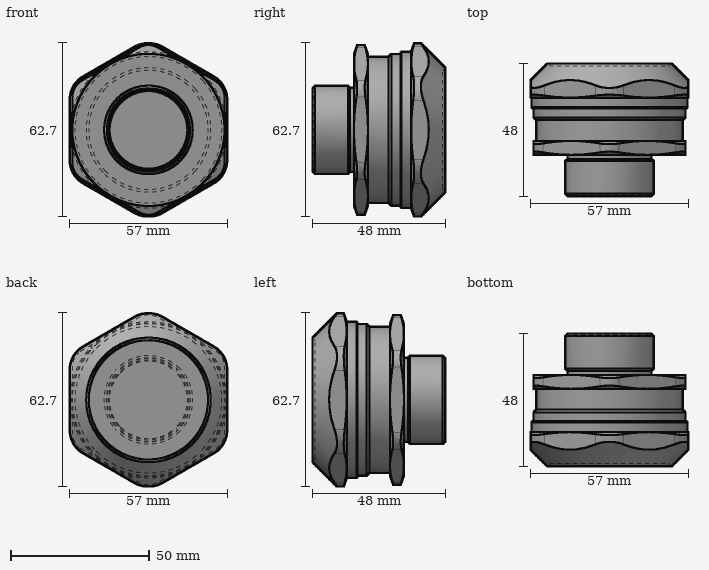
import cadquery as cq
import math


NOZZLE_DIA = 32.0
NOZZLE_LENGTH = 15.0
NOZZLE_TIP_CHAMFER = 1.0
NECK_DIA = 30.5
NECK_LENGTH = 1.5
TIP_RECESS_DIA = 28.9
TIP_RECESS_DEPTH = 0.4

FRONT_HEX_FLATS = 55.0
FRONT_HEX_THICKNESS = 5.0
FRONT_HEX_CORNER_RADIUS = 7.0

BODY_DIA = 53.0
BODY_LENGTH = 7.5
COLLAR_DIA = 55.0
COLLAR_LENGTH = 4.2
COLLAR_CHAMFER = 1.0
SHOULDER_DIA = 56.55
SHOULDER_LENGTH = 3.9
SHOULDER_CHAMFER = 0.5

REAR_HEX_FLATS = 57.0
REAR_HEX_CORNER_RADIUS = 10.0
HEX_CHAMFER_ANGLE = 20.0
TOTAL_LENGTH = 48.01
REAR_FACE_DIA = 45.0
REAR_RECESS_DIA = 43.09
REAR_RECESS_DEPTH = 1.0

SHARP_OVER_FLAT = 2 / math.sqrt(3)

FRONT_HEX_START = NOZZLE_LENGTH
BODY_START = FRONT_HEX_START + FRONT_HEX_THICKNESS
COLLAR_START = BODY_START + BODY_LENGTH
SHOULDER_START = COLLAR_START + COLLAR_LENGTH
REAR_HEX_START = SHOULDER_START + SHOULDER_LENGTH


def revolve_profile(points):
    """Revolve a (radius, y) outline, closed along the axis, about the Y axis."""
    return cq.Workplane("XY").polyline(points).close().revolve(360, (0, 0), (0, 1))


def hex_corner_reach(flats, corner_radius):
    """Distance from the axis to the top of a rounded hexagon corner."""
    return flats / 2 * SHARP_OVER_FLAT - corner_radius * (SHARP_OVER_FLAT - 1)


def hex_prism(flats, corner_radius, y_start, y_end):
    """Hexagonal prism along Y, with flats facing +X and -X and rounded corners."""
    sharp_diameter = flats * SHARP_OVER_FLAT
    return (
        cq.Workplane("XZ", origin=(0, y_start, 0))
        .transformed(rotate=(0, 0, 90))
        .polygon(6, sharp_diameter)
        .extrude(y_start - y_end)
        .edges("|Y")
        .fillet(corner_radius)
    )


def hex_chamfer_depth(corner_reach, face_radius):
    """Axial depth of the corner chamfer that leaves a round face of face_radius."""
    return (corner_reach - face_radius) * math.tan(math.radians(HEX_CHAMFER_ANGLE))


def make_nozzle():
    radius = NOZZLE_DIA / 2
    neck_radius = NECK_DIA / 2
    neck_start = NOZZLE_LENGTH - NECK_LENGTH
    recess_radius = TIP_RECESS_DIA / 2
    return revolve_profile([
        (0, TIP_RECESS_DEPTH),
        (recess_radius - TIP_RECESS_DEPTH, TIP_RECESS_DEPTH),
        (recess_radius, 0),
        (radius - NOZZLE_TIP_CHAMFER, 0),
        (radius, NOZZLE_TIP_CHAMFER),
        (radius, neck_start - (radius - neck_radius)),
        (neck_radius, neck_start),
        (neck_radius, NOZZLE_LENGTH),
        (0, NOZZLE_LENGTH),
    ])


def make_front_hex():
    reach = hex_corner_reach(FRONT_HEX_FLATS, FRONT_HEX_CORNER_RADIUS)
    face_radius = FRONT_HEX_FLATS / 2
    depth = hex_chamfer_depth(reach, face_radius)
    envelope = revolve_profile([
        (0, FRONT_HEX_START),
        (face_radius, FRONT_HEX_START),
        (reach, FRONT_HEX_START + depth),
        (reach, BODY_START - depth),
        (face_radius, BODY_START),
        (0, BODY_START),
    ])
    prism = hex_prism(FRONT_HEX_FLATS, FRONT_HEX_CORNER_RADIUS, FRONT_HEX_START, BODY_START)
    return prism.intersect(envelope)


def make_body():
    body_radius = BODY_DIA / 2
    collar_radius = COLLAR_DIA / 2
    shoulder_radius = SHOULDER_DIA / 2
    return revolve_profile([
        (0, BODY_START),
        (body_radius, BODY_START),
        (body_radius, COLLAR_START),
        (collar_radius, COLLAR_START + COLLAR_CHAMFER),
        (collar_radius, SHOULDER_START),
        (shoulder_radius - SHOULDER_CHAMFER, SHOULDER_START),
        (shoulder_radius, SHOULDER_START + SHOULDER_CHAMFER),
        (shoulder_radius, REAR_HEX_START),
        (0, REAR_HEX_START),
    ])


def make_rear_hex():
    """Rear hexagon whose back is cut by a 45 degree cone running up to the rear face."""
    reach = hex_corner_reach(REAR_HEX_FLATS, REAR_HEX_CORNER_RADIUS)
    face_radius = SHOULDER_DIA / 2
    rear_radius = REAR_FACE_DIA / 2
    recess_radius = REAR_RECESS_DIA / 2
    recess_floor = TOTAL_LENGTH - REAR_RECESS_DEPTH
    envelope = revolve_profile([
        (0, REAR_HEX_START),
        (face_radius, REAR_HEX_START),
        (reach, REAR_HEX_START + hex_chamfer_depth(reach, face_radius)),
        (reach, TOTAL_LENGTH - (reach - rear_radius)),
        (rear_radius, TOTAL_LENGTH),
        (recess_radius, TOTAL_LENGTH),
        (recess_radius, recess_floor),
        (0, recess_floor),
    ])
    prism = hex_prism(REAR_HEX_FLATS, REAR_HEX_CORNER_RADIUS, REAR_HEX_START, TOTAL_LENGTH)
    return prism.intersect(envelope)


result = make_nozzle().union(make_front_hex()).union(make_body()).union(make_rear_hex())